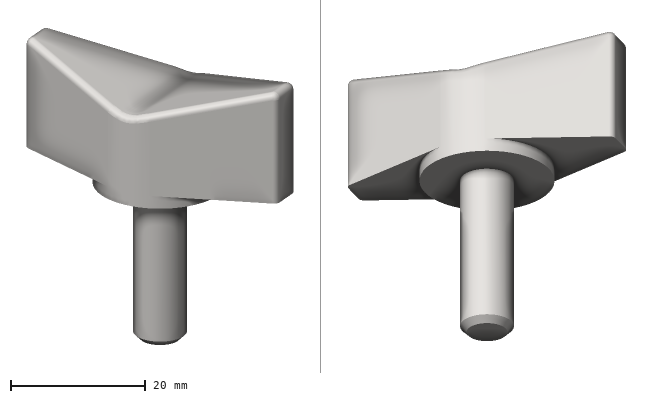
import cadquery as cq
import math

height = 44.7
span = 43.0
hub_diameter = 20.0

stud_diameter = 8.0
stud_length = 25.0
stud_chamfer = 1.0

collar_height = 2.0
taper_angle = math.radians(20.7)
rise_angle = math.radians(15.3)
valley_radius = 5.0
edge_radius = 1.0

half_span = span / 2
hub_radius = hub_diameter / 2
wing_base = stud_length + collar_height

tangent_x = hub_radius * math.sin(taper_angle)
tangent_y = hub_radius * math.cos(taper_angle)
tip_half_width = (hub_radius - half_span * math.sin(taper_angle)) / math.cos(taper_angle)

tip_arc_center_x = half_span - edge_radius
tip_arc_center_z = height - edge_radius
valley_point_z = (
    tip_arc_center_z + edge_radius / math.cos(rise_angle) - tip_arc_center_x * math.tan(rise_angle)
)
tip_z = valley_point_z + half_span * math.tan(rise_angle)

valley_center_z = valley_point_z + valley_radius / math.cos(rise_angle)
valley_end_x = valley_radius * math.sin(rise_angle)
valley_end_z = valley_center_z - valley_radius * math.cos(rise_angle)
valley_bottom_z = valley_center_z - valley_radius


def make_stud():
    stud = cq.Workplane("XY").circle(stud_diameter / 2).extrude(stud_length)
    return stud.faces("<Z").chamfer(stud_chamfer)


def make_hub():
    return cq.Workplane("XY", origin=(0, 0, stud_length)).circle(hub_radius).extrude(tip_z - stud_length)


def make_wing_blank():
    return (
        cq.Workplane("XY", origin=(0, 0, wing_base))
        .moveTo(-tangent_x, tangent_y)
        .lineTo(tangent_x, tangent_y)
        .lineTo(half_span, tip_half_width)
        .lineTo(half_span, -tip_half_width)
        .lineTo(tangent_x, -tangent_y)
        .lineTo(-tangent_x, -tangent_y)
        .lineTo(-half_span, -tip_half_width)
        .lineTo(-half_span, tip_half_width)
        .close()
        .extrude(tip_z - wing_base)
        .edges("|Z")
        .edges("<X or >X")
        .fillet(edge_radius)
    )


def make_valley_cutter():
    return (
        cq.Workplane("XZ")
        .moveTo(-half_span, tip_z)
        .lineTo(-valley_end_x, valley_end_z)
        .threePointArc((0, valley_bottom_z), (valley_end_x, valley_end_z))
        .lineTo(half_span, tip_z)
        .close()
        .extrude(hub_diameter, both=True)
    )


def make_grip():
    grip = make_hub().union(make_wing_blank()).cut(make_valley_cutter())
    above_wing_base = cq.selectors.BoxSelector(
        (-span, -span, wing_base + edge_radius),
        (span, span, height + edge_radius),
    )
    return grip.edges(above_wing_base).edges("not(|Z or |Y)").fillet(edge_radius)


result = make_stud().union(make_grip())